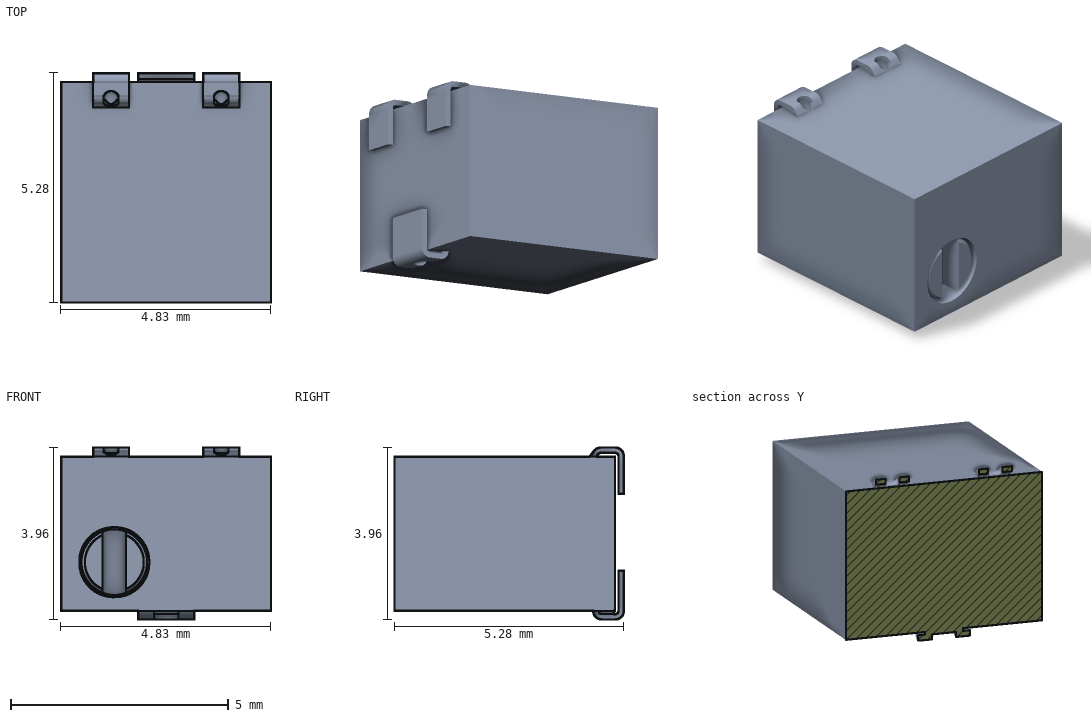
import cadquery as cq
import math

total_length = 5.28
total_height = 3.96
body_width = 4.83
terminal_offset = 0.2
top_rise = 0.21
bottom_drop = 0.2
body_length = total_length - terminal_offset
body_height = total_height - top_rise - bottom_drop

body_front = -total_length / 2
terminal_back = total_length / 2
terminal_top = total_height / 2
terminal_bottom = -total_height / 2
body_bottom = terminal_bottom + bottom_drop

screw_x = -1.195
screw_z = body_bottom + 1.12
bore_diameter = 1.615
bore_depth = 0.635
screw_diameter = 1.515
screw_recess = 0.05
screw_chamfer = 0.08
slot_width = 0.55
slot_depth = 0.505

sheet = 0.125
bend_radius = 0.2
neutral_radius = bend_radius - sheet / 2

top_spacing = 2.535
top_width = 0.83
top_leg = 1.065
top_flat = 0.33
top_bend = math.radians(53)
top_tail = 0.21
top_hole_diameter = 0.365

bottom_width = 1.295
bottom_leg = 1.125
bottom_flat = 0.305
bottom_bend = math.radians(90)
bottom_slot_width = 0.57

spacer_width = 0.95
spacer_start = 0.23


def on_circle(centre, radius, angle):
    """Point at an angle from the outward direction, turning towards the front of the part."""
    return (centre[0] + radius * math.sin(angle), centre[1] - radius * math.cos(angle))


def ahead(point, distance, angle):
    """Point moved along a sheet that has been bent by the angle."""
    return (point[0] + distance * math.cos(angle), point[1] + distance * math.sin(angle))


def terminal_plane(x, outer_z, side):
    """Terminal section plane: local x runs to the front, local y from the outer face to the body."""
    return cq.Plane(origin=(x, terminal_back, outer_z), xDir=(0, -1, 0), normal=(side, 0, 0))


def bent_strip(plane, width, leg, flat, bend, tail):
    """Upright leg, quarter bend, flat and a second bend with an optional straight tail."""
    inner_radius = bend_radius - sheet
    first = (bend_radius, bend_radius)
    second = (bend_radius + flat, bend_radius)
    outer_end = on_circle(second, bend_radius, bend)
    inner_end = on_circle(second, inner_radius, bend)
    quarter = math.pi / 2

    outline = (
        cq.Workplane(plane)
        .moveTo(0, leg)
        .lineTo(0, bend_radius)
        .threePointArc(on_circle(first, bend_radius, -quarter / 2), on_circle(first, bend_radius, 0))
        .lineTo(*on_circle(second, bend_radius, 0))
        .threePointArc(on_circle(second, bend_radius, bend / 2), outer_end)
    )
    if tail > 0:
        outline = outline.lineTo(*ahead(outer_end, tail, bend)).lineTo(*ahead(inner_end, tail, bend))
    return (
        outline.lineTo(*inner_end)
        .threePointArc(on_circle(second, inner_radius, bend / 2), on_circle(second, inner_radius, 0))
        .lineTo(*on_circle(first, inner_radius, 0))
        .threePointArc(on_circle(first, inner_radius, -quarter / 2), on_circle(first, inner_radius, -quarter))
        .lineTo(sheet, leg)
        .close()
        .extrude(width / 2, both=True)
    )


def sheet_hole(plane, bend_centre, angle, centre_offset, radius, direction):
    """Part of a round hole on the straight sheet at one end of a bend.

    Direction is -1 before the bend and 1 after it. The hole's centre lies centre_offset inside the bend.
    """
    edge = on_circle(bend_centre, bend_radius, angle)
    centre = ahead(edge, -direction * centre_offset, angle)
    sheet_plane = cq.Plane(
        origin=plane.toWorldCoords((*centre, 0)),
        xDir=plane.toWorldCoords((*ahead(edge, 0.055, angle), 0)) - plane.toWorldCoords((*edge, 0)),
        normal=plane.toWorldCoords((*edge, 0)) - plane.toWorldCoords((*bend_centre, 0)),
    )
    disc = cq.Workplane(sheet_plane).circle(radius).extrude(sheet, both=True)
    straight_side = (
        cq.Workplane(sheet_plane)
        .center(direction * (centre_offset + radius), 0)
        .rect(2 * radius, 2 * radius)
        .extrude(sheet, both=True)
    )
    return disc.intersect(straight_side)


def bend_wedge(plane, bend_centre, bend, width):
    """Sector of the given width that removes the sheet inside a bend."""
    reach = bend_radius + sheet
    return (
        cq.Workplane(plane)
        .moveTo(*bend_centre)
        .lineTo(*on_circle(bend_centre, reach, 0))
        .threePointArc(on_circle(bend_centre, reach, bend / 2), on_circle(bend_centre, reach, bend))
        .close()
        .extrude(width / 2, both=True)
    )


def top_terminal(x):
    """Terminal whose round hole is centred on its front bend and follows the bent sheet."""
    plane = terminal_plane(x, terminal_top, 1)
    strip = bent_strip(plane, top_width, top_leg, top_flat, top_bend, top_tail)
    bend_centre = (bend_radius + top_flat, bend_radius)
    hole_radius = top_hole_diameter / 2
    half_bend = neutral_radius * top_bend / 2
    chord = 2 * math.sqrt(hole_radius**2 - half_bend**2)
    return (
        strip.cut(sheet_hole(plane, bend_centre, 0, half_bend, hole_radius, -1))
        .cut(bend_wedge(plane, bend_centre, top_bend, chord))
        .cut(sheet_hole(plane, bend_centre, top_bend, half_bend, hole_radius, 1))
    )


def bottom_terminal():
    """Terminal with a round-ended slot that opens through its front bend, and its spacer."""
    plane = terminal_plane(0, terminal_bottom, -1)
    strip = bent_strip(plane, bottom_width, bottom_leg, bottom_flat, bottom_bend, 0)
    bend_centre = (bend_radius + bottom_flat, bend_radius)
    slot_end = sheet_hole(plane, bend_centre, 0, 0, bottom_slot_width / 2, -1)
    strip = strip.cut(slot_end).cut(bend_wedge(plane, bend_centre, bottom_bend, bottom_slot_width))

    spacer_end = bend_centre[0] + bend_radius - sheet
    spacer = cq.Workplane("XY").box(
        spacer_width, spacer_end - spacer_start, bottom_drop - sheet, centered=(True, False, False)
    ).translate((0, terminal_back - spacer_end, terminal_bottom + sheet))
    return strip.union(spacer)


def front_cylinder(diameter, start, end):
    """Cylinder on the screw axis between two depths behind the front face."""
    plane = cq.Plane(origin=(screw_x, body_front + start, screw_z), xDir=(1, 0, 0), normal=(0, 1, 0))
    return cq.Workplane(plane).circle(diameter / 2).extrude(end - start)


def slotted_screw():
    """Chamfered screw head with a slot across its full diameter."""
    head = front_cylinder(screw_diameter, screw_recess, bore_depth).faces("<Y").chamfer(screw_chamfer)
    slot = cq.Workplane("XY").box(
        slot_width, slot_depth, screw_diameter, centered=(True, False, True)
    ).translate((screw_x, body_front + screw_recess, screw_z))
    return head.cut(slot)


body = cq.Workplane("XY").box(
    body_width, body_length, body_height, centered=(True, False, False)
).translate((0, body_front, body_bottom))

result = body.cut(front_cylinder(bore_diameter, 0, bore_depth)).union(slotted_screw())
for side in (-1, 1):
    result = result.union(top_terminal(side * top_spacing / 2))
result = result.union(bottom_terminal())